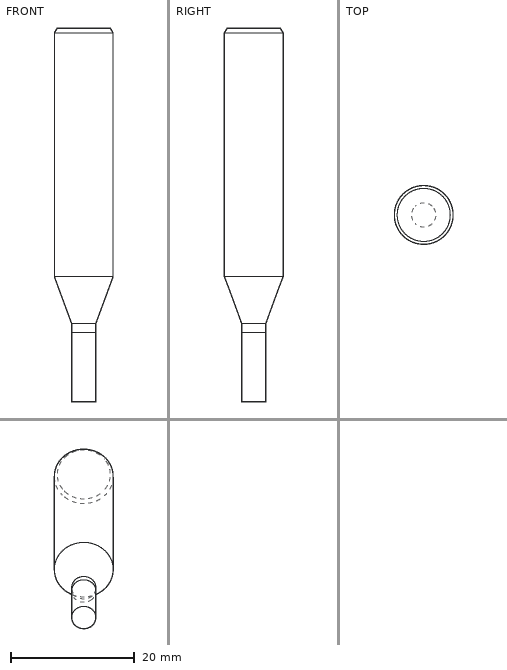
import cadquery as cq

total_length = 60.3
shank_diameter = 9.5
neck_diameter = 3.9
tip_diameter = 3.9

tip_length = 11.2
neck_length = 1.4
taper_length = 7.6

chamfer_height = 0.8
chamfer_width = 0.5

neck_top = tip_length + neck_length
taper_top = neck_top + taper_length


def make_holder():
    """Shank, taper and short neck turned as one solid."""
    shank_radius = shank_diameter / 2
    neck_radius = neck_diameter / 2
    profile = [
        (0, tip_length),
        (neck_radius, tip_length),
        (neck_radius, neck_top),
        (shank_radius, taper_top),
        (shank_radius, total_length - chamfer_height),
        (shank_radius - chamfer_width, total_length),
        (0, total_length),
    ]
    return cq.Workplane("XZ").polyline(profile).close().revolve(360, (0, 0), (0, 1))


def make_tip():
    """Plain round tip that meets the lower face of the neck."""
    return cq.Workplane("XY").circle(tip_diameter / 2).extrude(tip_length)


holder = make_holder()
tip = make_tip()

result = cq.Compound.makeCompound([holder.val(), tip.val()])